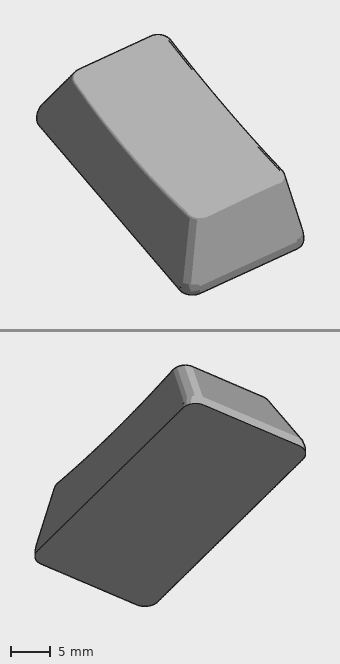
import cadquery as cq
import math

length = 37.2
width = 18.15

bend_start = 0.67
bend_end = 1.45
wall_top = 11.15
side_lean = 23.5
front_lean = 22.0
back_lean = 4.6
corner_radius = 1.9

dish_low_point = 8.45
dish_radius = 124.65
dish_tilt = 0.3
rim_radius = 0.4


def wall_points(edge, outward, lean):
    """Points up one wall of a profile: bend start, bend middle, bend end and top.

    edge is the position of the wall foot and outward is +1 or -1.
    """
    angle = math.radians(lean)
    bend_radius = (bend_end - bend_start) / math.sin(angle)

    def on_bend(turned):
        inset = bend_radius * (1 - math.cos(turned))
        return (edge - outward * inset, bend_start + bend_radius * math.sin(turned))

    start, middle, end = on_bend(0), on_bend(angle / 2), on_bend(angle)
    top = (end[0] - outward * (wall_top - bend_end) * math.tan(angle), wall_top)
    return start, middle, end, top


def walled_prism(plane, span, low_lean, high_lean, half_depth):
    """Prism whose two side walls stand upright, bend and then lean inwards."""
    low_start, low_middle, low_end, low_top = wall_points(-span / 2, -1, low_lean)
    high_start, high_middle, high_end, high_top = wall_points(span / 2, 1, high_lean)
    return (
        cq.Workplane(plane)
        .moveTo(-span / 2, 0)
        .lineTo(span / 2, 0)
        .lineTo(*high_start)
        .threePointArc(high_middle, high_end)
        .lineTo(*high_top)
        .lineTo(*low_top)
        .lineTo(*low_end)
        .threePointArc(low_middle, low_start)
        .close()
        .extrude(half_depth, both=True)
    )


def rises(edge):
    """True for the edges that climb the corners of the block."""
    return abs(edge.startPoint().z - edge.endPoint().z) > bend_start / 2


def walled_block():
    """Block with four leaning walls and rounded corners."""
    sides = walled_prism("XZ", length, side_lean, side_lean, width)
    front_and_back = walled_prism("YZ", width, front_lean, back_lean, length)
    block = sides.intersect(front_and_back)
    corner_edges = block.edges().filter(rises)
    return corner_edges.fillet(corner_radius)


def dish():
    """Large cylinder lying along Y, tipped slightly about X."""
    return (
        cq.Workplane("XZ")
        .center(0, dish_low_point + dish_radius)
        .circle(dish_radius)
        .extrude(width, both=True)
        .rotate((0, 0, dish_low_point), (1, 0, dish_low_point), dish_tilt)
    )


cap = walled_block().cut(dish())
dished_face = cap.faces(cq.selectors.NearestToPointSelector((0, 0, dish_low_point)))
result = dished_face.edges().fillet(rim_radius)